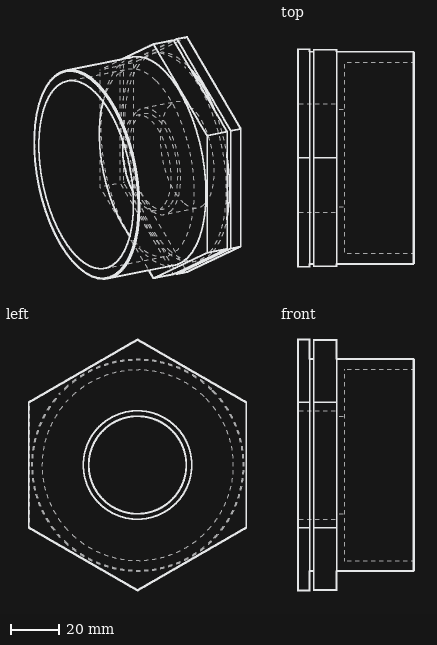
import cadquery as cq
import math

hex_corners = 103.9
total_length = 48.0

front_hex_length = 4.8
groove_width = 1.7
head_length = 16.0
rear_hex_corners = 103.5

body_diameter = 87.9
end_chamfer = 0.4

inlet_diameter = 44.9
inlet_depth = 16.0
lip_diameter = 40.3
lip_length = 3.2
outlet_diameter = 79.1


def hexagon(corners, start, end):
    """Hexagonal prism along X with two corners on the Z axis."""
    radius = corners / 2
    points = [
        (radius * math.sin(math.radians(60 * i)), radius * math.cos(math.radians(60 * i)))
        for i in range(6)
    ]
    return cq.Workplane("YZ").workplane(offset=start).polyline(points).close().extrude(end - start)


def cylinder(diameter, start, end):
    """Round bar along X."""
    return cq.Workplane("YZ").workplane(offset=start).circle(diameter / 2).extrude(end - start)


body = cylinder(body_diameter, 0, total_length).faces(">X").chamfer(end_chamfer)
front_hex = hexagon(hex_corners, 0, front_hex_length)
rear_hex = hexagon(rear_hex_corners, front_hex_length + groove_width, head_length)

lip_end = inlet_depth + lip_length
inlet = cylinder(inlet_diameter, 0, inlet_depth)
lip_hole = cylinder(lip_diameter, 0, lip_end)
outlet = cylinder(outlet_diameter, lip_end, total_length)

result = body.union(front_hex).union(rear_hex).cut(inlet).cut(lip_hole).cut(outlet)